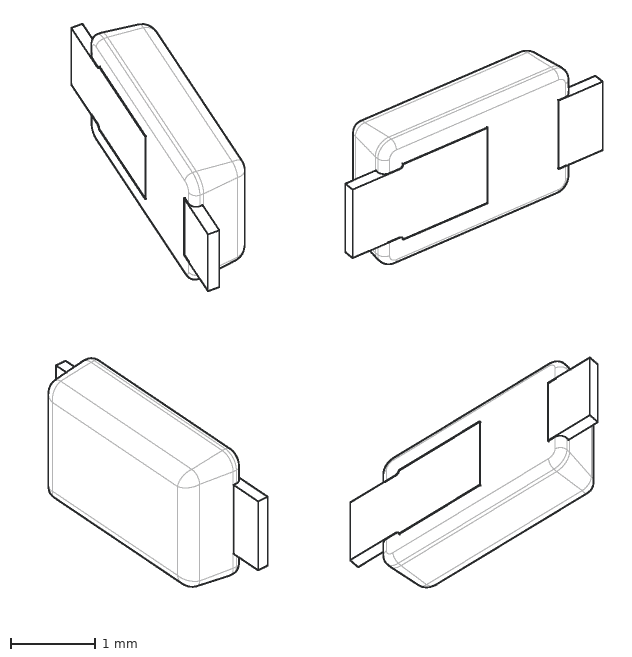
import cadquery as cq


lead_span = 3.7
lead_thickness = 0.15
lead_width = 1.0
pad_width = 1.1
pad_start_x = -1.1
pad_end_x = 0.15
pad_fillet = (pad_width - lead_width) / 2
short_lead_start_x = 1.2

housing_length = 2.8
housing_width = 1.8
housing_height = 0.8
standoff = 0.01
rim_height = 0.15
draft_angle = 7.0
corner_radius = 0.2
top_fillet = 0.2
bottom_fillet = 0.1


def plane_at(y):
    """XZ plane at height y, with its normal along +Y."""
    return cq.Workplane(cq.Plane(origin=(0, y, 0), xDir=(1, 0, 0), normal=(0, 1, 0)))


def make_pad_lead():
    """Left lead, widening into the die pad through two small concave fillets."""
    tip_x = -lead_span / 2
    lead_z = lead_width / 2
    pad_z = pad_width / 2
    fillet_start_x = pad_start_x - pad_fillet
    return (
        plane_at(0)
        .moveTo(tip_x, -lead_z)
        .lineTo(fillet_start_x, -lead_z)
        .radiusArc((pad_start_x, -pad_z), pad_fillet)
        .lineTo(pad_end_x, -pad_z)
        .lineTo(pad_end_x, pad_z)
        .lineTo(pad_start_x, pad_z)
        .radiusArc((fillet_start_x, lead_z), pad_fillet)
        .lineTo(tip_x, lead_z)
        .close()
        .extrude(lead_thickness)
    )


def make_short_lead():
    """Right lead, a plain rectangular strip."""
    length = lead_span / 2 - short_lead_start_x
    center_x = short_lead_start_x + length / 2
    return plane_at(0).center(center_x, 0).rect(length, lead_width).extrude(lead_thickness)


def make_housing(leads):
    """Rounded block with drafted upper walls and a pocket for each lead."""
    footprint = cq.Sketch().rect(housing_length, housing_width).vertices().fillet(corner_radius)
    rim = plane_at(standoff).placeSketch(footprint).extrude(rim_height)
    rim = rim.faces("<Y").edges().fillet(bottom_fillet)
    upper = plane_at(standoff + rim_height).placeSketch(footprint)
    upper = upper.extrude(housing_height - rim_height, taper=draft_angle)
    upper = upper.faces(">Y").edges().fillet(top_fillet)
    housing = rim.union(upper)
    for lead in leads:
        housing = housing.cut(lead)
    return housing


pad_lead = make_pad_lead()
short_lead = make_short_lead()
housing = make_housing([pad_lead, short_lead])

result = cq.Compound.makeCompound([housing.val(), pad_lead.val(), short_lead.val()])